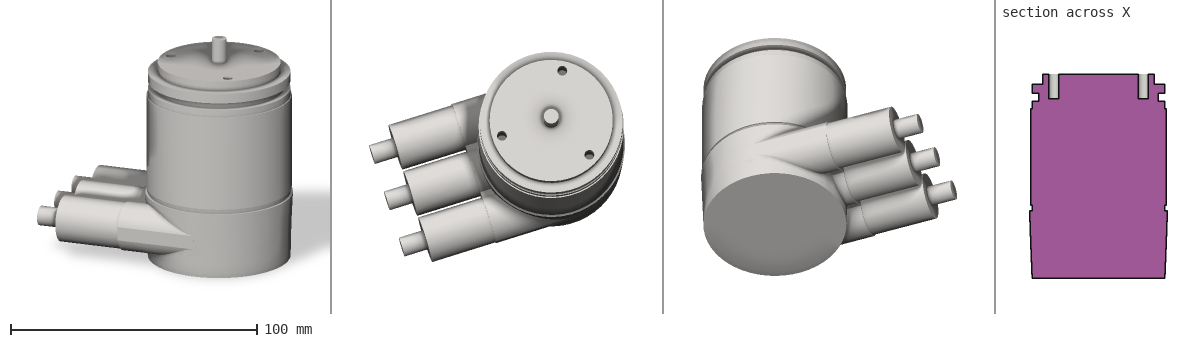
import cadquery as cq
import math

cover_height = 27.5
cover_top_radius = 30.0
draft_angle = 2.0
cover_bottom_radius = cover_top_radius - cover_height * math.tan(math.radians(draft_angle))

neck_radius = 29.0
pilot_top = 83.0
housing_steps = [
    (neck_radius, 29.5),
    (29.5, 69.0),
    (neck_radius, 72.0),
    (26.5, 75.0),
    (neck_radius, 79.0),
    (25.0, pilot_top),
    (3.0, 93.0),
]

hole_diameter = 4.0
hole_circle_radius = 21.0
hole_depth = 10.0
hole_count = 3

outlet_count = 3
outlet_spacing = 20.0
outlet_height = 15.0
collar_radius = 10.0
collar_end = -33.0
flat_clearance = 0.02
plug_radius = 9.5
plug_end = -60.0
cable_radius = 4.0
cable_end = -70.0
web_height = 9.4
outlet_positions = [(i - (outlet_count - 1) / 2) * outlet_spacing for i in range(outlet_count)]


def rod_along_x(radius, start, end, y):
    return (
        cq.Workplane("YZ", origin=(start, y, outlet_height))
        .circle(radius)
        .extrude(end - start)
    )


def make_cover():
    return (
        cq.Workplane("XZ")
        .polyline([
            (0, 0),
            (cover_bottom_radius, 0),
            (cover_top_radius, cover_height),
            (0, cover_height),
        ])
        .close()
        .revolve(360, (0, 0, 0), (0, 1, 0))
    )


def make_housing():
    housing = None
    bottom = cover_height
    for radius, top in housing_steps:
        step = cq.Workplane("XY", origin=(0, 0, bottom)).circle(radius).extrude(top - bottom)
        housing = step if housing is None else housing.union(step)
        bottom = top
    return housing


def make_collars():
    """Collars joined by webs, trimmed at the sides by flats following the cover draft."""
    web_width = outlet_positions[-1] - outlet_positions[0]
    collars = (
        cq.Workplane("YZ", origin=(collar_end, 0, outlet_height))
        .rect(web_width, web_height)
        .extrude(-collar_end)
    )
    for y in outlet_positions:
        collars = collars.union(rod_along_x(collar_radius, collar_end, 0, y))
    bottom_half_width = cover_bottom_radius + flat_clearance
    top_half_width = cover_top_radius + flat_clearance
    side_trim = (
        cq.Workplane("YZ", origin=(collar_end, 0, 0))
        .polyline([
            (-bottom_half_width, 0),
            (bottom_half_width, 0),
            (top_half_width, cover_height),
            (-top_half_width, cover_height),
        ])
        .close()
        .extrude(-collar_end)
    )
    return collars.intersect(side_trim)


def make_holes():
    return (
        cq.Workplane("XY", origin=(0, 0, pilot_top))
        .polarArray(hole_circle_radius, 180, 360, hole_count)
        .circle(hole_diameter / 2)
        .extrude(-hole_depth)
    )


result = make_cover().union(make_housing()).union(make_collars())
for outlet_y in outlet_positions:
    result = result.union(rod_along_x(plug_radius, plug_end, collar_end, outlet_y))
    result = result.union(rod_along_x(cable_radius, cable_end, plug_end, outlet_y))
result = result.cut(make_holes())